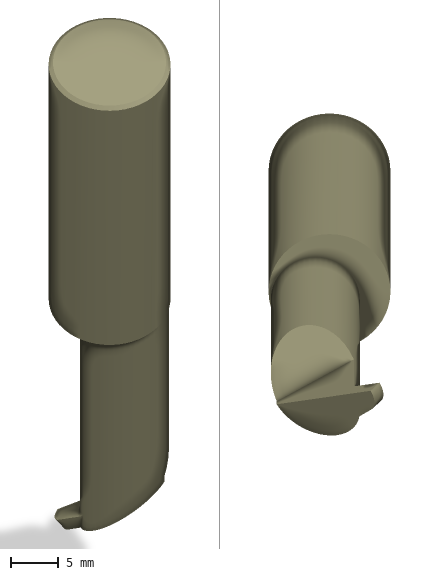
import cadquery as cq
import math

total_height = 76.2
head_radius = 6.36
head_bottom = 38.1
chamfer_width = 0.45
chamfer_height = 0.3

shank_radius = 4.65
shank_x = head_radius - shank_radius

slope_angle = 46.2
slope_tip_x = -4.95

relief_bottom = 12.7
relief_angle = 45.0

blade_thickness = 1.485
blade_length = 6.85
blade_tip_radius = 2.3
blade_taper = 13.0
root_fillet = 0.45

slope = math.radians(slope_angle)
taper = math.radians(blade_taper)
overshoot = 2 * head_radius


def make_head():
    head = cq.Workplane("XY").workplane(offset=head_bottom).circle(head_radius)
    head = head.extrude(total_height - head_bottom)
    return head.faces(">Z").edges().chamfer(chamfer_height, chamfer_width)


def make_relief():
    """Prism on the +Y side, with a flat wall at y = 0 and a sloping roof."""
    roof_top = relief_bottom + overshoot * math.tan(math.radians(relief_angle))
    profile = [
        (0, -overshoot),
        (overshoot, -overshoot),
        (overshoot, roof_top),
        (0, relief_bottom),
    ]
    return cq.Workplane("YZ").polyline(profile).close().extrude(overshoot, both=True)


def make_underside_cut():
    """Everything below the sloping plane."""
    run = 2 * overshoot
    rise = run * math.tan(slope)
    profile = [
        (slope_tip_x - run, -rise),
        (slope_tip_x + run, -rise),
        (slope_tip_x + run, rise),
    ]
    return cq.Workplane("XZ").polyline(profile).close().extrude(overshoot, both=True)


def make_shank():
    shank = cq.Workplane("XY").center(shank_x, 0).circle(shank_radius).extrude(head_bottom)
    return shank.cut(make_relief()).cut(make_underside_cut())


def make_blade():
    """Tapered half tongue with a round end, thickened square to the slope."""
    plane = cq.Plane(
        origin=(slope_tip_x, 0, 0),
        xDir=(math.cos(slope), 0, math.sin(slope)),
        normal=(-math.sin(slope), 0, math.cos(slope)),
    )

    def on_round_end(angle):
        along = blade_tip_radius * (1 - math.cos(angle))
        return along, -blade_tip_radius * math.sin(angle)

    tangent_angle = math.pi / 2 - taper
    side_start = on_round_end(tangent_angle)
    root_width = -side_start[1] + (blade_length - side_start[0]) * math.tan(taper)
    outline = (
        cq.Workplane(plane)
        .moveTo(0, 0)
        .threePointArc(on_round_end(tangent_angle / 2), side_start)
        .lineTo(blade_length, -root_width)
        .lineTo(blade_length, 0)
        .close()
    )
    return outline.extrude(blade_thickness)


def round_blade_root(body):
    """Fillet the corner where the top of the blade meets the shank."""
    run = (shank_x - shank_radius - slope_tip_x) + blade_thickness * math.sin(slope)
    root_z = run * math.tan(slope) + blade_thickness * math.cos(slope)
    root_point = (shank_x - shank_radius, 0, root_z)
    root_edge = cq.selectors.NearestToPointSelector(root_point)
    return body.edges("%ELLIPSE").edges(root_edge).fillet(root_fillet)


body = make_head().union(make_shank()).union(make_blade())
result = round_blade_root(body)